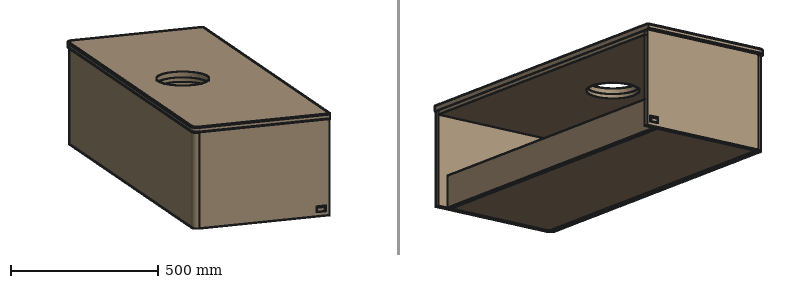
import cadquery as cq

WIDTH = 1200.0
DEPTH = 500.0
HEIGHT = 360.0
BOARD = 15.0

WORKTOP_THICKNESS = 20.0
WORKTOP_CHAMFER = 4.0
OVERHANG = 6.0
WASTE_DIAMETER = 180.0
WASTE_FROM_BACK = 305.0

FRONT_THICKNESS = 20.0
FRONT_CORNER_RADIUS = 35.0 / 2
FRONT_TOP_GAP = 2.0

BACK_HEIGHT = 114.0
BACK_INSET = 38.0

SLOT_LENGTH = 32.0
SLOT_HEIGHT = 19.0
SLOT_DEPTH = 4.0
SLOT_FROM_BACK = 13.0
SLOT_BASE = 15.0
COVER_GAP = 4.0

cabinet_width = WIDTH - 2 * OVERHANG
cabinet_depth = DEPTH - OVERHANG
cabinet_height = HEIGHT - WORKTOP_THICKNESS
half_width = cabinet_width / 2
side_depth = cabinet_depth - FRONT_THICKNESS
inner_width = cabinet_width - 2 * BOARD
worktop_corner_radius = FRONT_CORNER_RADIUS + OVERHANG


def block(width, depth, height, back=0.0, base=0.0):
    """Box centred on X that reaches forward from the plane Y = -back."""
    box = cq.Workplane("XY").box(width, depth, height, centered=(True, False, False))
    return box.translate((0, -back - depth, base))


def waste_cutter():
    """Vertical cylinder for the waste hole through the worktop and top board."""
    return cq.Workplane("XY").center(0, -WASTE_FROM_BACK).circle(WASTE_DIAMETER / 2).extrude(HEIGHT)


def make_worktop():
    """Slab with rounded front corners, chamfered along the front and both ends."""
    slab = block(WIDTH, DEPTH, WORKTOP_THICKNESS, base=cabinet_height)
    slab = slab.edges("|Z and <Y").fillet(worktop_corner_radius)
    slab = slab.faces("<Z or >Z").edges("not >Y").chamfer(WORKTOP_CHAMFER)
    return slab.cut(waste_cutter())


def make_top_board():
    """Board under the worktop, between the side panels."""
    board = block(inner_width, side_depth, BOARD, base=cabinet_height - BOARD)
    return board.cut(waste_cutter())


def make_front_panel():
    """Full-width panel with rounded front corners."""
    panel = block(cabinet_width, FRONT_THICKNESS, cabinet_height - FRONT_TOP_GAP, back=side_depth)
    return panel.edges("|Z and <Y").fillet(FRONT_CORNER_RADIUS)


def make_side_panel(end):
    """Side panel at the left (end = -1) or right (end = 1), with a recess for its cover."""
    panel = block(BOARD, side_depth, cabinet_height)
    recess = block(SLOT_DEPTH, SLOT_LENGTH, SLOT_HEIGHT, back=SLOT_FROM_BACK, base=SLOT_BASE)
    recess = recess.translate((end * (BOARD - SLOT_DEPTH) / 2, 0, 0))
    return panel.cut(recess).translate((end * (half_width - BOARD / 2), 0, 0))


def make_cover(end):
    """Cover flush with the outer face of a side panel."""
    cover = block(
        SLOT_DEPTH,
        SLOT_LENGTH - COVER_GAP,
        SLOT_HEIGHT - COVER_GAP,
        back=SLOT_FROM_BACK + COVER_GAP,
        base=SLOT_BASE,
    )
    return cover.translate((end * (half_width - SLOT_DEPTH / 2), 0, 0))


def make_back_board():
    """Low upright board between the side panels."""
    return block(inner_width, BOARD, BACK_HEIGHT, back=BACK_INSET)


def make_floor():
    """Bottom board from the back board to the front panel."""
    floor_back = BACK_INSET + BOARD
    return block(inner_width, side_depth - floor_back, BOARD, back=floor_back)


worktop = make_worktop()
top_board = make_top_board()
front_panel = make_front_panel()
back_board = make_back_board()
floor_board = make_floor()
side_panels = [make_side_panel(end) for end in (-1, 1)]
covers = [make_cover(end) for end in (-1, 1)]

result = cq.Compound.makeCompound([
    worktop.val(),
    top_board.val(),
    front_panel.val(),
    back_board.val(),
    floor_board.val(),
    *[panel.val() for panel in side_panels],
    *[cover.val() for cover in covers],
])